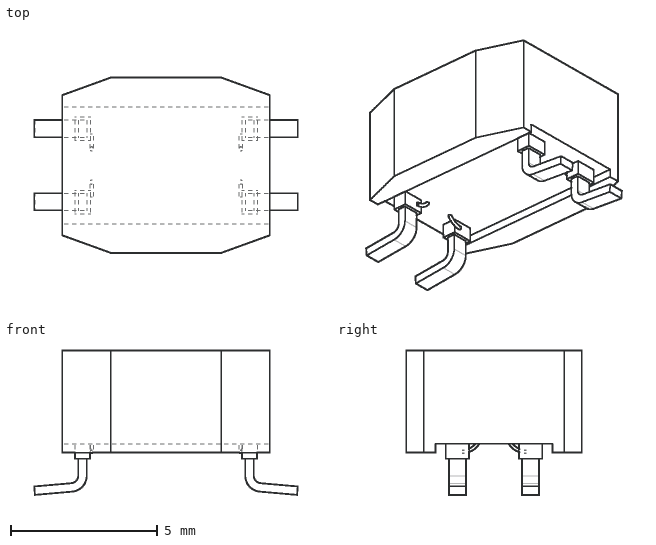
import cadquery as cq
import math

body_length = 7.11
body_width = 6.01
body_height = 3.495
overall_height = 4.95
body_bottom = overall_height - body_height
corner_cut_x = 1.67
corner_cut_y = 0.605

channel_width = 4.0
channel_depth = 0.3
channel_roof = body_bottom + channel_depth

overall_length = 9.03
lead_spacing = 2.5
lead_width = 0.6
lead_thickness = 0.3
lead_inner_face = 2.71
bend_outer_radius = 0.55
bend_inner_radius = bend_outer_radius - lead_thickness
foot_slope = math.radians(5)

collar_length = 0.52
collar_width = 0.8
collar_drop = 0.22
collar_bottom = body_bottom - collar_drop
collar_center = lead_inner_face + lead_thickness / 2
collar_inner_face = collar_center - collar_length / 2

wire_diameter = 0.12
wire_bite = 0.02
wire_drop = 0.03
wire_low_y = 1.08
wire_roof_y = 0.57

embed = 0.09


def make_body():
    half_length = body_length / 2
    half_width = body_width / 2
    flat_x = half_length - corner_cut_x
    flat_y = half_width - corner_cut_y
    outline = [
        (half_length, -flat_y),
        (half_length, flat_y),
        (flat_x, half_width),
        (-flat_x, half_width),
        (-half_length, flat_y),
        (-half_length, -flat_y),
        (-flat_x, -half_width),
        (flat_x, -half_width),
    ]
    block = cq.Workplane("XY", origin=(0, 0, body_bottom)).polyline(outline).close().extrude(body_height)
    channel = cq.Workplane("XY", origin=(0, 0, body_bottom)).box(
        body_length, channel_width, channel_depth, centered=(True, True, False)
    )
    return block.cut(channel)


def make_collar():
    return cq.Workplane("XY", origin=(collar_center, lead_spacing / 2, collar_bottom)).box(
        collar_length, collar_width, channel_roof + embed - collar_bottom, centered=(True, True, False)
    )


def make_lead():
    sweep = math.pi / 2 - foot_slope
    tip_top_x = overall_length / 2
    tip_bottom_x = tip_top_x - lead_thickness * math.sin(foot_slope)
    tip_top_z = lead_thickness * math.cos(foot_slope)

    bend_x = lead_inner_face + bend_outer_radius
    foot_start_x = bend_x - bend_outer_radius * math.cos(sweep)
    foot_start_z = (tip_bottom_x - foot_start_x) * math.tan(foot_slope)
    bend_z = foot_start_z + bend_outer_radius * math.sin(sweep)

    def on_bend(radius, angle):
        return (bend_x - radius * math.cos(angle), bend_z - radius * math.sin(angle))

    profile = (
        cq.Workplane("XZ", origin=(0, lead_spacing / 2, 0))
        .moveTo(lead_inner_face, collar_bottom + embed)
        .lineTo(*on_bend(bend_outer_radius, 0))
        .threePointArc(on_bend(bend_outer_radius, sweep / 2), on_bend(bend_outer_radius, sweep))
        .lineTo(tip_bottom_x, 0)
        .lineTo(tip_top_x, tip_top_z)
        .lineTo(*on_bend(bend_inner_radius, sweep))
        .threePointArc(on_bend(bend_inner_radius, sweep / 2), on_bend(bend_inner_radius, 0))
        .lineTo(lead_inner_face + lead_thickness, collar_bottom + embed)
        .close()
    )
    return profile.extrude(lead_width / 2, both=True)


def make_wire():
    center_x = collar_inner_face + wire_bite - wire_diameter / 2
    low_z = body_bottom - wire_drop + wire_diameter / 2

    run = wire_low_y - wire_roof_y
    rise = channel_roof - low_z
    bend_radius = (run**2 + rise**2) / (2 * rise)
    crossing_angle = math.asin(run / bend_radius)
    end_angle = crossing_angle + embed / bend_radius

    def on_arc(angle):
        y = wire_low_y - bend_radius * math.sin(angle)
        z = low_z + bend_radius * (1 - math.cos(angle))
        return (y, z)

    path = (
        cq.Workplane("YZ", origin=(center_x, 0, 0))
        .moveTo(*on_arc(0))
        .threePointArc(on_arc(end_angle / 2), on_arc(end_angle))
    )
    section = cq.Workplane("XZ", origin=(center_x, wire_low_y, low_z)).circle(wire_diameter / 2)
    return section.sweep(path)


terminal = make_collar().union(make_lead()).union(make_wire())
terminal_pair = terminal.union(terminal.mirror("XZ"))
result = make_body().union(terminal_pair).union(terminal_pair.mirror("YZ"))